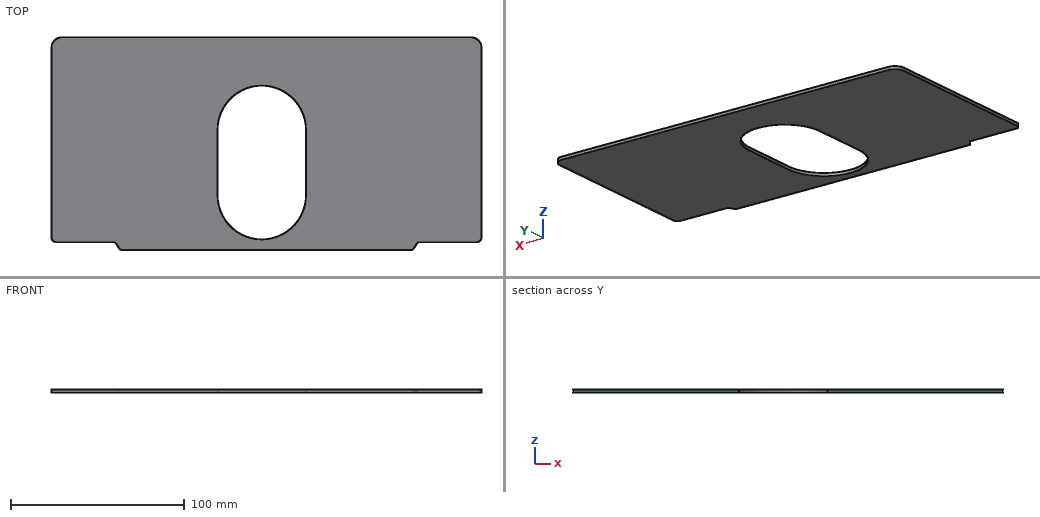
import cadquery as cq
import math

length = 248.5
width = 123.0
thickness = 2.04
back_corner_radius = 6.2
front_corner_radius = 3.0

tab_depth = 4.5
tab_end_inset = 38.3
tab_slope_angle = 60.0
tab_blend_radius = 2.2

slot_length = 88.7
slot_width = 51.0
slot_center_x = -2.7
slot_center_y = -11.0

half_length = length / 2
back_y = width / 2
front_y = -width / 2
shoulder_y = front_y + tab_depth
slope_run = tab_depth / math.tan(math.radians(tab_slope_angle))
tab_root_x = half_length - tab_end_inset + slope_run / 2
tab_tip_x = tab_root_x - slope_run


def round_corners(body, corners, radius):
    """Round the vertical edges at mirrored pairs of (x, y) corners."""
    for x, y in corners:
        for side in (-1, 1):
            edge = cq.selectors.NearestToPointSelector((side * x, y, thickness / 2))
            body = body.edges("|Z").edges(edge).fillet(radius)
    return body


plate = (
    cq.Workplane("XY")
    .polyline([
        (-half_length, back_y),
        (half_length, back_y),
        (half_length, shoulder_y),
        (tab_root_x, shoulder_y),
        (tab_tip_x, front_y),
        (-tab_tip_x, front_y),
        (-tab_root_x, shoulder_y),
        (-half_length, shoulder_y),
    ])
    .close()
    .extrude(thickness)
)
plate = round_corners(plate, [(half_length, back_y)], back_corner_radius)
plate = round_corners(plate, [(half_length, shoulder_y)], front_corner_radius)
plate = round_corners(plate, [(tab_root_x, shoulder_y), (tab_tip_x, front_y)], tab_blend_radius)

slot = (
    cq.Workplane("XY")
    .center(slot_center_x, slot_center_y)
    .slot2D(slot_length, slot_width, angle=90)
    .extrude(thickness)
)

result = plate.cut(slot)